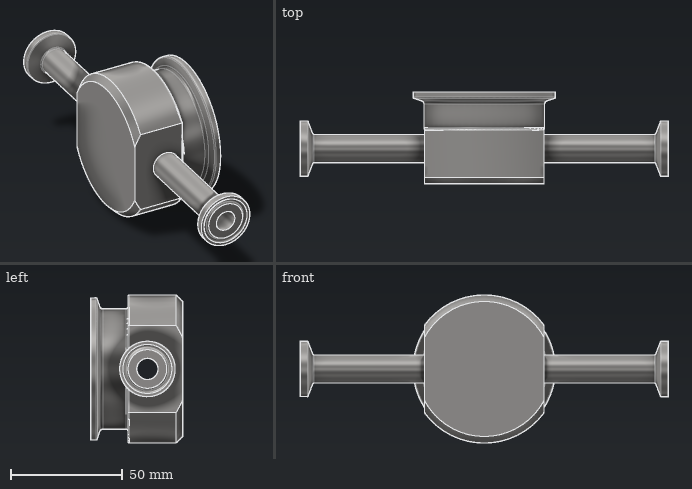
import cadquery as cq
import math

overall_length = 165.1
overall_depth = 41.3

body_diameter = 66.5
body_depth = 24.6
body_chamfer = 3.0
body_rear_radius = 0.7
flat_offset = 26.9
neck_diameter = 54.2
neck_root_radius = 0.8

main_flange_diameter = 63.9
main_flange_thickness = 2.8
main_edge_radius = 0.7

tube_diameter = 12.7
tube_axis_depth = 15.8
bore_diameter = 9.4
end_ferrule_length = 12.5
end_flange_diameter = 25.0
end_flange_thickness = 3.5
end_edge_radius = 0.3

groove_outer_diameter = 22.0
groove_inner_diameter = 17.3
groove_radius = 0.9

flange_back_angle = 18.0
end_back_angle = 21.0
main_root_radius = 1.5
end_root_radius = 0.7
edge_pick_margin = 0.02

half_length = overall_length / 2
front_y = -tube_axis_depth
shoulder_y = front_y + body_depth
ferrule_face_y = front_y + overall_depth


def ferrule(flange_diameter, pipe_diameter, length, thickness, back_angle, edge_radius, root_radius):
    """Solid clamp ferrule on the Z axis: face at Z = 0, pipe ending at Z = -length."""
    flange_radius = flange_diameter / 2
    pipe_radius = pipe_diameter / 2
    back_height = (flange_radius - pipe_radius) * math.tan(math.radians(back_angle))
    profile = (
        cq.Workplane("XZ")
        .moveTo(0, 0)
        .lineTo(flange_radius, 0)
        .lineTo(flange_radius, -thickness)
        .lineTo(pipe_radius, -thickness - back_height)
        .lineTo(pipe_radius, -length)
        .lineTo(0, -length)
        .close()
    )
    blank = profile.revolve(360, (0, 0), (0, 1))
    edge_z = -thickness
    root_z = -thickness - back_height

    def ring_at(z):
        return cq.selectors.BoxSelector(
            (-flange_diameter, -flange_diameter, z - edge_pick_margin),
            (flange_diameter, flange_diameter, z + edge_pick_margin),
            boundingbox=True,
        )

    rounded_rim = blank.edges(ring_at(edge_z)).fillet(edge_radius)
    return rounded_rim.edges(ring_at(root_z)).fillet(root_radius)


def gasket_groove():
    """Ring sunk into a face at Z = 0: an arc from the outer edge, then a tangent slope to the inner edge."""
    inner_radius = groove_inner_diameter / 2
    outer_radius = groove_outer_diameter / 2
    arc_center_radius = outer_radius - groove_radius
    slope_angle = math.asin(groove_radius / (arc_center_radius - inner_radius))
    tangent_radius = arc_center_radius - groove_radius * math.sin(slope_angle)
    tangent_depth = groove_radius * math.cos(slope_angle)
    section = (
        cq.Workplane("XZ")
        .moveTo(outer_radius, 0)
        .threePointArc((arc_center_radius, -groove_radius), (tangent_radius, -tangent_depth))
        .lineTo(inner_radius, 0)
        .close()
    )
    return section.revolve(360, (0, 0), (0, 1))


def between_flats():
    """Slab that bounds the body at its two side flats."""
    return cq.Workplane("XY").box(2 * flat_offset, 2 * overall_depth, body_diameter)


def body():
    """Disc with two side flats, a chamfered front edge and a rounded rear edge."""
    disc = (
        cq.Workplane("XZ", origin=(0, front_y, 0))
        .circle(body_diameter / 2)
        .extrude(-body_depth)
        .faces("<Y")
        .chamfer(body_chamfer)
    )
    return disc.intersect(between_flats()).faces(">Y").fillet(body_rear_radius)


def neck_root():
    """Concave fillet ring where the neck meets the body shoulder."""
    neck_radius = neck_diameter / 2
    sagitta = neck_root_radius * (1 - math.sqrt(0.5))
    section = (
        cq.Workplane("XY")
        .moveTo(0, shoulder_y)
        .lineTo(neck_radius + neck_root_radius, shoulder_y)
        .threePointArc(
            (neck_radius + sagitta, shoulder_y + sagitta),
            (neck_radius, shoulder_y + neck_root_radius),
        )
        .lineTo(0, shoulder_y + neck_root_radius)
        .close()
    )
    ring = section.revolve(360, (0, 0), (0, 1))
    return ring.intersect(between_flats())


main_ferrule = ferrule(
    main_flange_diameter, neck_diameter, overall_depth - body_depth,
    main_flange_thickness, flange_back_angle, main_edge_radius, main_root_radius,
).rotate((0, 0, 0), (1, 0, 0), -90).translate((0, ferrule_face_y, 0))
part = body().union(main_ferrule).union(neck_root())

tube_half_length = half_length - end_ferrule_length
part = part.union(
    cq.Workplane("YZ").circle(tube_diameter / 2).extrude(tube_half_length, both=True)
)
end_ferrule = ferrule(
    end_flange_diameter, tube_diameter, end_ferrule_length,
    end_flange_thickness, end_back_angle, end_edge_radius, end_root_radius,
).cut(gasket_groove())
for side in (-1, 1):
    part = part.union(
        end_ferrule.rotate((0, 0, 0), (0, 1, 0), side * 90).translate((side * half_length, 0, 0))
    )

result = part.cut(
    cq.Workplane("YZ").circle(bore_diameter / 2).extrude(half_length, both=True)
)